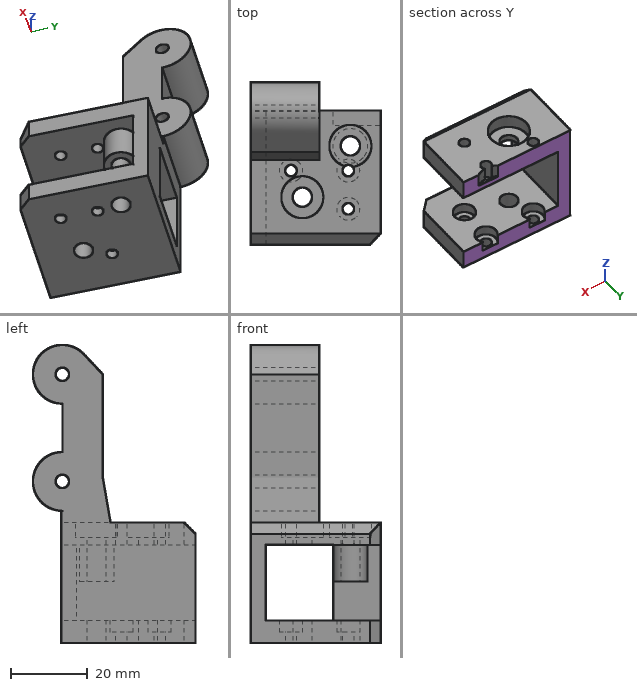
import cadquery as cq
import math

TOTAL_DEPTH = 42.6
TOTAL_HEIGHT = 78.0

BODY_WIDTH = 34.0
BODY_DEPTH = 35.2
BODY_HEIGHT = 31.6
PLATE_THICKNESS = 5.9
WALL_THICKNESS = 4.0
CAVITY_TOP = BODY_HEIGHT - PLATE_THICKNESS
WINDOW_RIGHT = 21.5

EDGE_CHAMFER = 3.05
CORNER_CHAMFER_WIDTH = 2.9

ARM_WIDTH = 17.95
ARM_FRONT = 24.25
ARM_FOOT_FRONT = 22.2
ARM_TAPER_TOP = 43.3
KNUCKLE_RADIUS = 7.7
KNUCKLE_Y = TOTAL_DEPTH - KNUCKLE_RADIUS
KNUCKLE_PITCH = 28.0
UPPER_KNUCKLE_Z = TOTAL_HEIGHT - KNUCKLE_RADIUS
LOWER_KNUCKLE_Z = UPPER_KNUCKLE_Z - KNUCKLE_PITCH
HINGE_HOLE_DIAMETER = 3.4

FRONT_AXLE = (13.5, 12.5)
REAR_AXLE = (26.05, 25.9)
AXLE_HOLE_DIAMETER = 5.0
AXLE_HEAD_DIAMETER = 11.0
AXLE_HEAD_DEPTH = 4.0
SPACER_DIAMETER = 9.05
SPACER_LENGTH = 9.6

SCREW_RIGHT_X = 25.5
SCREW_REAR_Y = 19.4
SCREW_PITCH_X = 15.0
SCREW_PITCH_Y = 10.0
SCREW_POINTS = [
    (SCREW_RIGHT_X, SCREW_REAR_Y),
    (SCREW_RIGHT_X - SCREW_PITCH_X, SCREW_REAR_Y),
    (SCREW_RIGHT_X, SCREW_REAR_Y - SCREW_PITCH_Y),
]
SCREW_HOLE_DIAMETER = 3.0
SCREW_HEAD_DIAMETER = 6.0
SCREW_HEAD_DEPTH = 3.0


def box(x_range, y_range, z_range):
    """Box between two limits on each axis."""
    sizes = [high - low for low, high in (x_range, y_range, z_range)]
    corner = (x_range[0], y_range[0], z_range[0])
    return cq.Workplane("XY").box(*sizes, centered=False).translate(corner)


def vertical_cylinders(points, diameter, bottom, top):
    """Upright cylinders of one size at the given (x, y) points."""
    plane = cq.Workplane("XY").workplane(offset=bottom)
    return plane.pushPoints(points).circle(diameter / 2).extrude(top - bottom)


def make_body():
    """Two plates joined by a side wall and a windowed rear wall, chamfered at the front."""
    profile = [
        (0, 0),
        (BODY_DEPTH, 0),
        (BODY_DEPTH, BODY_HEIGHT),
        (EDGE_CHAMFER, BODY_HEIGHT),
        (0, BODY_HEIGHT - EDGE_CHAMFER),
    ]
    body = cq.Workplane("YZ").polyline(profile).close().extrude(BODY_WIDTH)

    corner = [
        (BODY_WIDTH - CORNER_CHAMFER_WIDTH, 0),
        (BODY_WIDTH, 0),
        (BODY_WIDTH, EDGE_CHAMFER),
    ]
    body = body.cut(cq.Workplane("XY").polyline(corner).close().extrude(BODY_HEIGHT))

    cavity_z = (PLATE_THICKNESS, CAVITY_TOP)
    cavity = box((WALL_THICKNESS, BODY_WIDTH), (0, BODY_DEPTH - WALL_THICKNESS), cavity_z)
    window = box((WALL_THICKNESS, WINDOW_RIGHT), (0, BODY_DEPTH), cavity_z)
    return body.cut(cavity).cut(window)


def make_arm():
    """Upright arm with two hinge knuckles on its rear side."""
    tangent_angle = math.acos(KNUCKLE_RADIUS / (KNUCKLE_Y - ARM_FRONT))
    tangent_point = (
        KNUCKLE_Y - KNUCKLE_RADIUS * math.cos(tangent_angle),
        UPPER_KNUCKLE_Z + KNUCKLE_RADIUS * math.sin(tangent_angle),
    )
    profile = [
        (KNUCKLE_Y, BODY_HEIGHT),
        (KNUCKLE_Y, UPPER_KNUCKLE_Z),
        tangent_point,
        (ARM_FRONT, UPPER_KNUCKLE_Z),
        (ARM_FRONT, ARM_TAPER_TOP),
        (ARM_FOOT_FRONT, BODY_HEIGHT),
    ]
    arm = cq.Workplane("YZ").polyline(profile).close().extrude(ARM_WIDTH)

    rear_z = (BODY_HEIGHT, LOWER_KNUCKLE_Z - KNUCKLE_RADIUS)
    arm = arm.union(box((0, ARM_WIDTH), (ARM_FRONT, BODY_DEPTH), rear_z))

    axes = [(KNUCKLE_Y, LOWER_KNUCKLE_Z), (KNUCKLE_Y, UPPER_KNUCKLE_Z)]
    knuckles = cq.Workplane("YZ").pushPoints(axes).circle(KNUCKLE_RADIUS).extrude(ARM_WIDTH)
    holes = cq.Workplane("YZ").pushPoints(axes).circle(HINGE_HOLE_DIAMETER / 2).extrude(ARM_WIDTH)
    return arm.union(knuckles).cut(holes)


def make_spacer():
    """Spacer hanging from the upper plate around the rear axle."""
    return vertical_cylinders([REAR_AXLE], SPACER_DIAMETER, CAVITY_TOP - SPACER_LENGTH, CAVITY_TOP)


def cut_axle_holes(part):
    """Through holes for both axles, counterbored from the upper face."""
    axles = [FRONT_AXLE, REAR_AXLE]
    head_floor = BODY_HEIGHT - AXLE_HEAD_DEPTH
    part = part.cut(vertical_cylinders(axles, AXLE_HOLE_DIAMETER, 0, BODY_HEIGHT))
    return part.cut(vertical_cylinders(axles, AXLE_HEAD_DIAMETER, head_floor, BODY_HEIGHT))


def cut_screw_holes(part):
    """Aligned holes in both plates, with head recesses in the cavity floor."""
    head_floor = PLATE_THICKNESS - SCREW_HEAD_DEPTH
    base_holes = vertical_cylinders(SCREW_POINTS, SCREW_HOLE_DIAMETER, 0, PLATE_THICKNESS)
    access_holes = vertical_cylinders(SCREW_POINTS, SCREW_HOLE_DIAMETER, CAVITY_TOP, BODY_HEIGHT)
    heads = vertical_cylinders(SCREW_POINTS, SCREW_HEAD_DIAMETER, head_floor, PLATE_THICKNESS)
    return part.cut(base_holes).cut(access_holes).cut(heads)


blank = make_body().union(make_arm()).union(make_spacer())
result = cut_screw_holes(cut_axle_holes(blank))